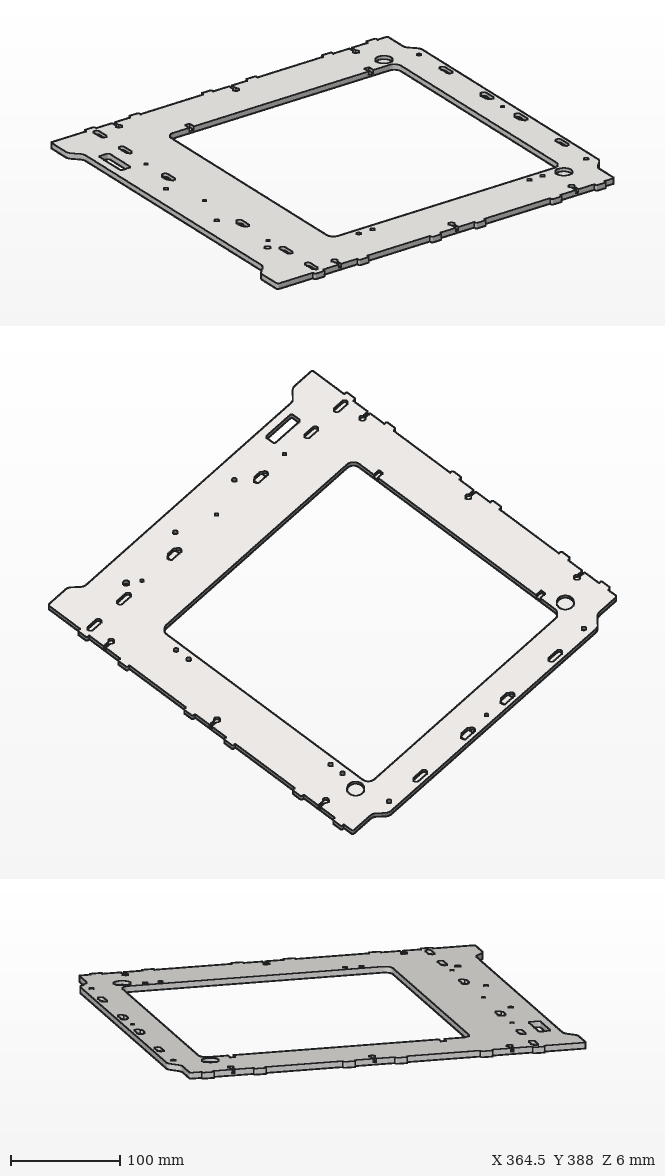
import cadquery as cq
length = 388.0
thickness = 6.0
overall_width = 364.5
tab_projection = 3.0
half_width = overall_width / 2 - tab_projection
half_length = length / 2
corner_radius = 1.5

step_height = 10.5
step_run = 10.5
step_x = 141.5
step_fillet = 8.0

window_width = 260.5
window_bottom = -99.0
window_top = 158.5
window_radius = 7.8
window_left = -window_width / 2

opening_width = 35.5
opening_height = 11.3
opening_top = -163.7
opening_radius = 2.0

tab_pair_ys = (142.0, 7.5, -123.8)
tab_pitch = 49.5
tab_length = 11.3
tab_radius = 1.0

recess_depth = 3.5

keyhole_neck = 2.7
keyhole_head = 6.0
keyhole_reach = 9.0

disc_diameter = 16.0
disc_x = 142.0
disc_y = 153.3

notch_ys = (130.5, -70.5)
notch_width = 5.0
notch_reach = 7.0

slot_length = 16.3
slot_width = 6.0
slot_radius = 2.7
upper_slot_y = 187.0
lower_slot_y = -147.5
upper_slot_x = 91.5
lower_slot_inner_x = 127.0
lower_slot_outer_x = 167.0

upper_nut_slot_x = 26.8
lower_nut_slot_x = 58.5
nut_pocket_length = 11.0
nut_pocket_extra_width = 1.5
nut_pocket_radius = 2.0
nut_pocket_depth = 4.0

small_diameter = 3.2
medium_diameter = 4.3
large_diameter = 6.0
upper_hole_y = 185.5
lower_hole_y = -149.0
lower_hole_left_x = -92.5
lower_hole_right_x = 101.0
side_hole_x = 137.5
side_hole_ys = (132.7, 118.0, -58.0, -73.5)
end_hole_x = 132.0
base_hole_x = 40.0
base_hole_y = -163.5
large_hole = (112.5, -158.0)


def both_sides(points):
    """The points together with their mirror images across the YZ plane."""
    return points + [(-x, y) for x, y in points]


def rounded_blocks(points, size_x, size_y, radius, depth=thickness):
    """Blocks with rounded upright edges, reaching down from the top face by depth."""
    return (
        cq.Workplane("XY", origin=(0, 0, thickness - depth))
        .pushPoints(points)
        .rect(size_x, size_y)
        .extrude(depth)
        .edges("|Z")
        .fillet(radius)
    )


def blocks(points, size_x, size_y, depth):
    """Sharp-edged blocks reaching down from the top face by depth."""
    return (
        cq.Workplane("XY", origin=(0, 0, thickness - depth))
        .pushPoints(points)
        .rect(size_x, size_y)
        .extrude(depth)
    )


def cylinders(points, diameter, depth=thickness):
    """Upright cylinders reaching down from the top face by depth."""
    return (
        cq.Workplane("XY", origin=(0, 0, thickness - depth))
        .pushPoints(points)
        .circle(diameter / 2)
        .extrude(depth)
    )


def fillet_upright_edges(plate, points, radius):
    """Round the upright edges that stand at the given points and their mirror images."""
    reach = 0.5
    for x, y in both_sides(points):
        near_edge = cq.selectors.BoxSelector(
            (x - reach, y - reach, -reach),
            (x + reach, y + reach, thickness + reach),
        )
        plate = plate.edges(near_edge).fillet(radius)
    return plate


def plate_body():
    lower_step = [(step_x, step_height - half_length), (step_x + step_run, -half_length)]
    upper_step = [(step_x + step_run, half_length - step_height), (step_x, half_length)]
    corners = [(half_width, -half_length), (half_width, half_length - step_height)]
    right_side = lower_step + corners + upper_step
    left_side = [(-x, y) for x, y in reversed(right_side)]
    plate = cq.Workplane("XY").polyline(right_side + left_side).close().extrude(thickness)
    plate = fillet_upright_edges(plate, lower_step + upper_step, step_fillet)
    return fillet_upright_edges(plate, corners, corner_radius)


def side_tabs():
    """Bars across the whole plate whose ends stand out as the tabs."""
    centres = [(0, y + side * tab_pitch / 2) for y in tab_pair_ys for side in (-1, 1)]
    return rounded_blocks(centres, overall_width, tab_length, tab_radius)


def window():
    height = window_top - window_bottom
    centre = (0, (window_top + window_bottom) / 2)
    return rounded_blocks([centre], window_width, height, window_radius)


def cable_opening():
    centre = (window_left + opening_width / 2, opening_top - opening_height / 2)
    return rounded_blocks([centre], opening_width, opening_height, opening_radius)


def keyholes():
    """Round heads joined to the side edges by narrow necks."""
    head_x = half_width - keyhole_reach
    heads = both_sides([(head_x, y) for y in tab_pair_ys])
    necks = both_sides([(half_width - keyhole_reach / 2, y) for y in tab_pair_ys])
    return cylinders(heads, keyhole_head, recess_depth).union(
        blocks(necks, keyhole_reach, keyhole_neck, recess_depth)
    )


def window_notches():
    centres = [(window_left - notch_reach / 2, y) for y in notch_ys]
    return blocks(centres, notch_reach, notch_width, recess_depth)


def slots():
    nut_slots = [(upper_nut_slot_x, upper_slot_y), (lower_nut_slot_x, lower_slot_y)]
    plain_slots = [
        (upper_slot_x, upper_slot_y),
        (lower_slot_inner_x, lower_slot_y),
        (lower_slot_outer_x, lower_slot_y),
    ]
    all_slots = both_sides(nut_slots + plain_slots)
    pocket_centres = both_sides([(x, y - nut_pocket_extra_width / 2) for x, y in nut_slots])
    pocket_width = slot_width + nut_pocket_extra_width
    return rounded_blocks(all_slots, slot_length, slot_width, slot_radius, recess_depth).union(
        rounded_blocks(
            pocket_centres, nut_pocket_length, pocket_width, nut_pocket_radius, nut_pocket_depth
        )
    )


small_holes = [
    (0, upper_hole_y),
    (lower_hole_left_x, lower_hole_y),
    (0, lower_hole_y),
    (lower_hole_right_x, lower_hole_y),
]
side_holes = [(side_hole_x, y) for y in side_hole_ys]
medium_holes = both_sides([(end_hole_x, upper_hole_y), (base_hole_x, base_hole_y)])

result = (
    plate_body()
    .union(side_tabs())
    .cut(window())
    .cut(cable_opening())
    .cut(keyholes())
    .cut(window_notches())
    .cut(slots())
    .cut(cylinders(both_sides([(disc_x, disc_y)]), disc_diameter, recess_depth))
    .cut(cylinders(small_holes, small_diameter))
    .cut(cylinders(side_holes + medium_holes, medium_diameter))
    .cut(cylinders([large_hole], large_diameter))
)